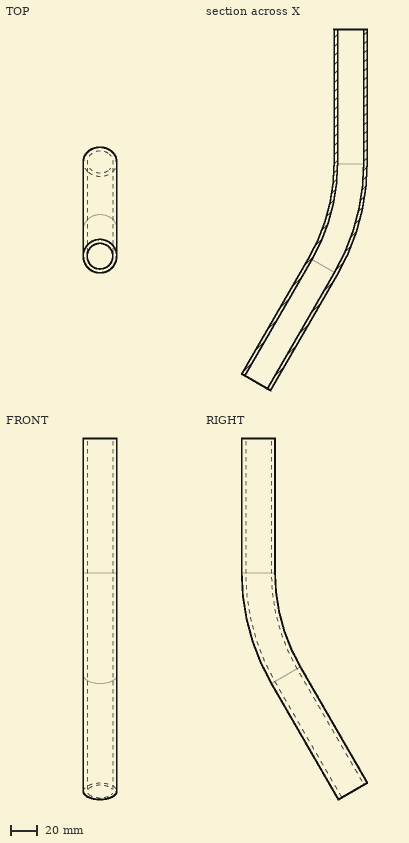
import cadquery as cq
import math

overall_height = 272.1
outer_diameter = 25.3
inner_diameter = 19.3
straight_length = 101.2
bend_angle = 30.0

bend_sin = math.sin(math.radians(bend_angle))
bend_cos = math.cos(math.radians(bend_angle))

end_face_drop = outer_diameter / 2 * bend_sin
bend_height = overall_height - straight_length * (1 + bend_cos) - end_face_drop
bend_radius = bend_height / bend_sin


def arc_point(angle):
    """Centreline point in the YZ plane after turning by angle degrees from vertical."""
    turn = math.radians(angle)
    return (
        bend_radius * (1 - math.cos(turn)),
        -straight_length - bend_radius * math.sin(turn),
    )


bend_end = arc_point(bend_angle)
lower_end = (
    bend_end[0] + straight_length * bend_sin,
    bend_end[1] - straight_length * bend_cos,
)
centreline = (
    cq.Workplane("YZ")
    .moveTo(0, 0)
    .lineTo(0, -straight_length)
    .threePointArc(arc_point(bend_angle / 2), bend_end)
    .lineTo(*lower_end)
)

result = (
    cq.Workplane("XY")
    .circle(outer_diameter / 2)
    .circle(inner_diameter / 2)
    .sweep(centreline)
)